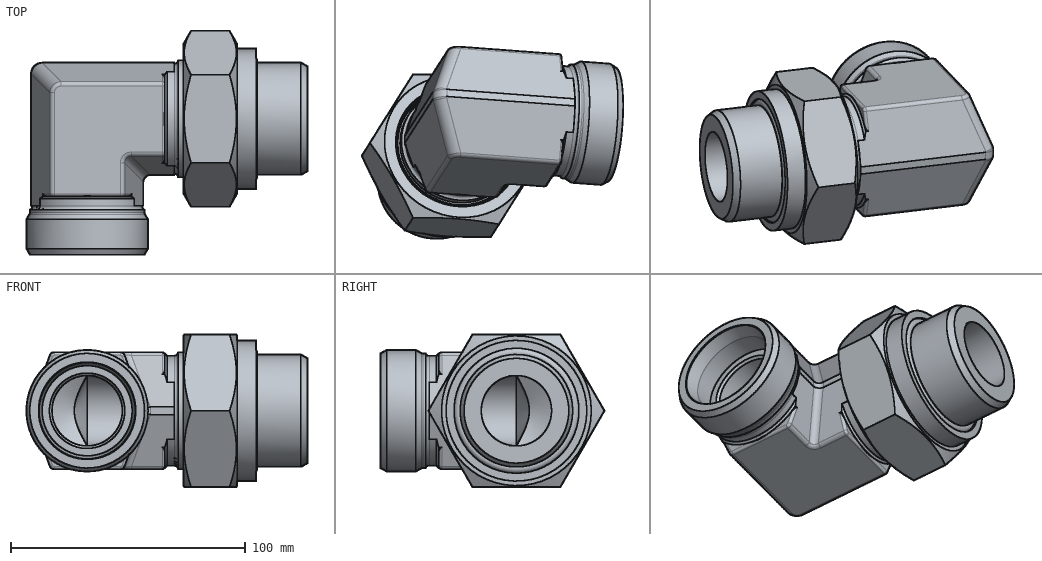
import cadquery as cq
import math


total_length = 120.0
tube_end_diameter = 52.0
stud_end = total_length - tube_end_diameter / 2
tube_end = 58.0

block_half_width = 24.0
block_half_height = 25.0
top_half_width = 15.5
waist_half_height = 1.62
outer_corner_radius = 5.0
inner_corner_radius = 3.0
top_edge_radius = 2.0
shoulder = 33.1
shoulder_radius = 1.2

mitre_normal = cq.Vector(1, 1, 0)
tolerance = 0.01

neck_diameter = 47.0
neck_end = 37.1
collar_start = 38.8
neck_start = 28.8
web_half_height = 12.2
root_chamfer = 1.0

bore_diameter = 30.0
drill_tip_angle = 120.0
socket_diameter = 38.4
socket_depth = 16.0
socket_mouth_diameter = 41.0
socket_cone_angle = 24.0
mouth_chamfer = 0.2
seat_diameter = 32.2

collar_step_diameter = 49.0
collar_step_end = 40.3
cone_blend_radius = 1.5
chamfer_angle = math.radians(30)
chamfer_slope = math.tan(chamfer_angle)
tube_chamfer_length = 2.6

flange_diameter = 50.0
stop_ring_diameter = 52.0
stop_ring_inset = 0.7
stud_diameter = 48.0
undercut_diameter = 45.4
stud_chamfer_length = 2.9

nut_start = 41.0
nut_end = 64.0
nut_sides = 6
nut_across_flats = 65.0
nut_face_diameter = 63.8
counterbore_diameter = 53.0
counterbore_mouth_diameter = 54.1
counterbore_depth = 3.6

washer_diameter = 60.0
washer_bore = 46.0
washer_end = 72.0
ring_groove_diameter = 53.3
ring_protrusion = 0.5
ring_end = washer_end + ring_protrusion
ring_section = (ring_groove_diameter - undercut_diameter) / 2


def turned_x(points):
    """Solid of revolution about X from a closed outline of (x, radius) points."""
    return cq.Workplane("XY").polyline(points).close().revolve(360, (0, 0, 0), (1, 0, 0))


def to_tube_arm(body):
    """Turn a body lying along the stud arm (+X) onto the tube arm (-Y)."""
    return body.rotate((0, 0, 0), (0, 0, 1), -90)


def mitre_edges(block, side):
    """Edges on the mitre plane x + y = 0; side is -1 for the outer corner, +1 for the inner one."""
    def on_mitre(edge):
        start = edge.startPoint()
        end = edge.endPoint()
        on_plane = all(abs(p.x + p.y) < tolerance and side * p.x > 0 for p in (start, end))
        return on_plane and abs(start.z - end.z) > tolerance

    return block.edges().filter(on_mitre)


def waist_only(edges):
    """The edge of a selection that is centred on the horizontal mid-plane."""
    return edges.filter(lambda edge: abs(edge.Center().z) < waist_half_height)


def elbow_block(arm_length):
    """Mitred L of constant eight-sided section, both arms arm_length long."""
    half_profile = [
        (top_half_width, block_half_height),
        (block_half_width, waist_half_height),
        (block_half_width, -waist_half_height),
        (top_half_width, -block_half_height),
    ]
    profile = half_profile + [(-y, -z) for y, z in half_profile]
    reach = block_half_width
    mitred_plan = [(-reach, reach), (arm_length, reach), (arm_length, -reach), (reach, -reach)]
    wedge = (
        cq.Workplane("XY").polyline(mitred_plan).close()
        .extrude(block_half_height, both=True)
    )
    arm = (
        cq.Workplane("YZ", origin=(-reach, 0, 0))
        .polyline(profile).close()
        .extrude(reach + arm_length)
        .intersect(wedge)
    )
    block = arm.union(arm.mirror(mitre_normal)).clean()
    block = mitre_edges(block, -1).fillet(outer_corner_radius)
    block = waist_only(mitre_edges(block, 1)).fillet(inner_corner_radius)
    block = mitre_edges(block, 1).fillet(inner_corner_radius)
    top_and_bottom = block.faces(">Z or <Z").edges("not(>X or <Y)")
    return top_and_bottom.fillet(top_edge_radius)


def rounded_block():
    """Elbow block up to the shoulders, whose edges are rounded."""
    return elbow_block(shoulder).faces(">X or <Y").edges().fillet(shoulder_radius)


def necks_and_webs():
    """Turned necks between shoulders and collars, with the side webs that bridge them."""
    neck_radius = neck_diameter / 2
    neck = turned_x([
        (neck_start, 0),
        (neck_start, neck_radius + root_chamfer),
        (shoulder, neck_radius + root_chamfer),
        (shoulder + root_chamfer, neck_radius),
        (neck_end, neck_radius),
        (neck_end, 0),
    ])
    web_length = neck_end - neck_start
    webs = cq.Workplane("XY").box(
        web_length, 2 * block_half_width, 2 * web_half_height
    ).translate((neck_start + web_length / 2, 0, 0))
    end_piece = neck.union(webs)
    return end_piece.union(to_tube_arm(end_piece)).intersect(elbow_block(neck_end))


def root_outline(collar_radius):
    """Start of a turned outline: up the neck end, then a concave quarter round to a collar."""
    neck_radius = neck_diameter / 2
    along = math.sin(math.pi / 4)
    up = 1 - math.cos(math.pi / 4)
    middle = (
        neck_end + along * (collar_start - neck_end),
        neck_radius + up * (collar_radius - neck_radius),
    )
    return (
        cq.Workplane("XY")
        .moveTo(neck_end, 0)
        .lineTo(neck_end, neck_radius)
        .threePointArc(middle, (collar_start, collar_radius))
    )


def tube_collar():
    """Outside of the tube end: neck root, step, cone, cylinder and end chamfer."""
    tube_radius = tube_end_diameter / 2
    step_radius = collar_step_diameter / 2
    cone_length = (tube_radius - step_radius) / chamfer_slope
    blend_reach = cone_blend_radius * math.tan(chamfer_angle / 2)
    blend_end = (
        collar_step_end + blend_reach * math.cos(chamfer_angle),
        step_radius + blend_reach * math.sin(chamfer_angle),
    )
    outline = (
        root_outline(step_radius)
        .lineTo(collar_step_end - blend_reach, step_radius)
        .tangentArcPoint(blend_end, relative=False)
        .lineTo(collar_step_end + cone_length, tube_radius)
        .lineTo(tube_end - tube_chamfer_length, tube_radius)
        .lineTo(tube_end, tube_radius - tube_chamfer_length * chamfer_slope)
        .lineTo(tube_end, 0)
        .close()
    )
    return to_tube_arm(outline.revolve(360, (0, 0, 0), (1, 0, 0)))


def stud():
    """Outside of the stud end: neck root, flange, stop ring, undercut and chamfered thread."""
    stud_radius = stud_diameter / 2
    stop_ring_start = nut_start + stop_ring_inset
    stop_ring_end = nut_start + counterbore_depth
    outline = (
        root_outline(flange_diameter / 2)
        .lineTo(stop_ring_start, flange_diameter / 2)
        .lineTo(stop_ring_start, stop_ring_diameter / 2)
        .lineTo(stop_ring_end, stop_ring_diameter / 2)
        .lineTo(stop_ring_end, stud_radius)
        .lineTo(nut_end, stud_radius)
        .lineTo(nut_end, undercut_diameter / 2)
        .lineTo(ring_end, undercut_diameter / 2)
        .lineTo(ring_end, stud_radius)
        .lineTo(stud_end - stud_chamfer_length, stud_radius)
        .lineTo(stud_end, stud_radius - stud_chamfer_length * chamfer_slope)
        .lineTo(stud_end, 0)
        .close()
    )
    return outline.revolve(360, (0, 0, 0), (1, 0, 0))


def bore(arm_end):
    """Drilled bore along X from arm_end to the origin, with its conical drill tip beyond."""
    radius = bore_diameter / 2
    tip_length = radius / math.tan(math.radians(drill_tip_angle / 2))
    return turned_x([(-tip_length, 0), (0, radius), (arm_end, radius), (arm_end, 0)])


def tube_socket():
    """Socket for the tube: conical mouth, cylinder, flat stop and chamfered seat edge."""
    floor = tube_end - socket_depth
    socket_radius = socket_diameter / 2
    mouth_radius = socket_mouth_diameter / 2
    cone_length = (mouth_radius - socket_radius) / math.tan(math.radians(socket_cone_angle / 2))
    seat_depth = (seat_diameter - bore_diameter) / 2
    return to_tube_arm(turned_x([
        (floor - seat_depth, 0),
        (floor - seat_depth, bore_diameter / 2),
        (floor, seat_diameter / 2),
        (floor, socket_radius),
        (tube_end - mouth_chamfer - cone_length, socket_radius),
        (tube_end - mouth_chamfer, mouth_radius),
        (tube_end, mouth_radius + mouth_chamfer),
        (tube_end, 0),
    ]))


def make_elbow():
    """Elbow with its tube end and stud end, drilled through."""
    return (
        rounded_block()
        .union(necks_and_webs())
        .union(tube_collar())
        .union(stud())
        .cut(bore(stud_end))
        .cut(to_tube_arm(bore(tube_end)))
        .cut(tube_socket())
    )


def make_nut():
    """Hexagonal lock nut, chamfered on both faces, counterbored towards the elbow."""
    corner_radius = nut_across_flats / 2 / math.cos(math.pi / nut_sides)
    face_radius = nut_face_diameter / 2
    chamfer_length = (corner_radius - face_radius) * chamfer_slope
    hexagon = (
        cq.Workplane("YZ", origin=(nut_start, 0, 0))
        .polygon(nut_sides, 2 * corner_radius)
        .extrude(nut_end - nut_start)
    )
    chamfered_blank = turned_x([
        (nut_start, 0),
        (nut_start, face_radius),
        (nut_start + chamfer_length, corner_radius),
        (nut_end - chamfer_length, corner_radius),
        (nut_end, face_radius),
        (nut_end, 0),
    ])
    counterbore_radius = counterbore_diameter / 2
    mouth_radius = counterbore_mouth_diameter / 2
    counterbore_floor = nut_start + counterbore_depth
    hole = turned_x([
        (nut_start, 0),
        (nut_start, mouth_radius),
        (nut_start + mouth_radius - counterbore_radius, counterbore_radius),
        (counterbore_floor, counterbore_radius),
        (counterbore_floor, stud_diameter / 2),
        (nut_end, stud_diameter / 2),
        (nut_end, 0),
    ])
    return hexagon.intersect(chamfered_blank).cut(hole)


def make_washer():
    """Retaining washer behind the nut, recessed for the O-ring on its free face."""
    recess_start = ring_end - ring_section
    return turned_x([
        (nut_end, washer_bore / 2),
        (nut_end, washer_diameter / 2),
        (washer_end, washer_diameter / 2),
        (washer_end, ring_groove_diameter / 2),
        (recess_start, ring_groove_diameter / 2),
        (recess_start, washer_bore / 2),
    ])


def make_o_ring():
    """O-ring in the washer recess, standing slightly proud of the washer."""
    section_radius = ring_section / 2
    return (
        cq.Workplane("XY")
        .moveTo(ring_end - section_radius, undercut_diameter / 2 + section_radius)
        .circle(section_radius)
        .revolve(360, (0, 0, 0), (1, 0, 0))
    )


elbow = make_elbow()
nut = make_nut()
washer = make_washer()
o_ring = make_o_ring()

result = cq.Compound.makeCompound([elbow.val(), nut.val(), washer.val(), o_ring.val()])